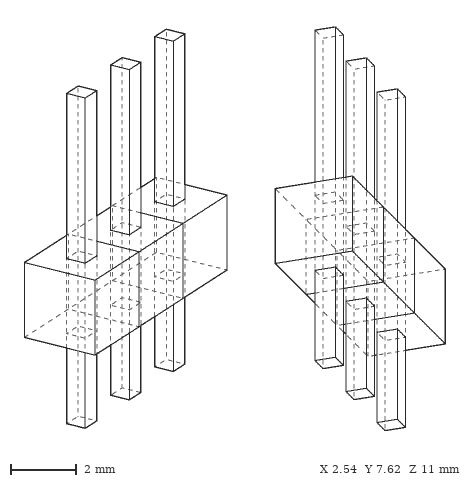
import cadquery as cq

pin_count = 3
pitch = 2.54
block_height = 2.5
pin_length = 11.0
pin_side = 0.67
tail_length = 3.0

row_start = -pitch * (pin_count - 1) / 2


def make_pin(y):
    """Square pin with its lower end at the tail length below the block."""
    return (
        cq.Workplane("XY", origin=(0, y, -tail_length))
        .rect(pin_side, pin_side)
        .extrude(pin_length)
    )


def make_block(y):
    """Insulator block standing on Z = 0, with a square through hole that fits the pin."""
    return (
        cq.Workplane("XY", origin=(0, y, 0))
        .rect(pitch, pitch)
        .rect(pin_side, pin_side)
        .extrude(block_height)
    )


bodies = []
for index in range(pin_count):
    y_position = row_start + index * pitch
    bodies.append(make_block(y_position).val())
    bodies.append(make_pin(y_position).val())

result = cq.Compound.makeCompound(bodies)